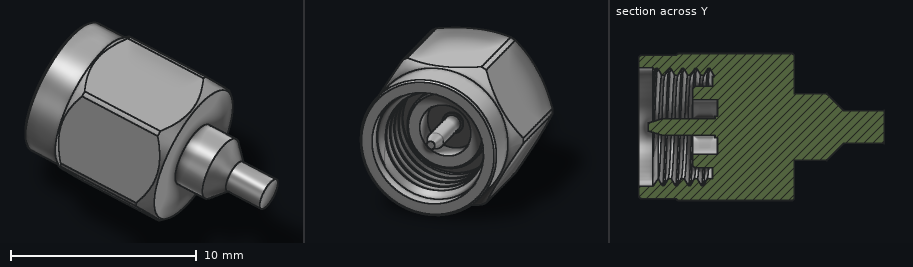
import cadquery as cq
import math

total_length = 13.23

collar_radius = 3.88
collar_length = 2.01
collar_chamfer = 0.1
nut_end = 8.39
across_flats = 7.94
corner_radius = 4.5
nut_bevel_length = 0.75

mouth_radius = 3.18
mouth_depth = 0.77
lead_in_end = 1.05
thread_crest_radius = 2.78
thread_root_radius = 3.15
thread_pitch = 0.7
thread_crest_width = 0.17
thread_root_width = 0.09
thread_start = 0.29
thread_start_angle = 190
thread_turns = 5
cavity_depth = 3.97
cutter_overlap = 0.05

ring_radius = 2.21
ring_chamfer = 0.1
ring_face = 2.91
ring_bore_radius = 1.45
ring_bore_depth = 1.32

pin_tip = 0.5
pin_tip_radius = 0.22
pin_taper_end = 1.26
pin_radius = 0.46
pin_base_radius = 0.58
pin_base_height = 0.13

ferrule_radius = 1.81
ferrule_end = 10.13
cable_radius = 0.9
cable_start = 11.05


def revolve_about_x(points):
    """Solid of revolution from (x, radius) points."""
    profile = cq.Workplane("XY").polyline(points).close()
    return profile.revolve(360, (0, 0, 0), (1, 0, 0))


def rod(radius, start, end):
    return cq.Workplane("YZ", origin=(start, 0, 0)).circle(radius).extrude(end - start)


def hexagonal_nut():
    """Hexagon with flats facing +Z and -Z, trimmed by a double-bevelled disc."""
    hexagon_diameter = across_flats / math.cos(math.pi / 6)
    nut_blank = (
        cq.Workplane("YZ", origin=(collar_length, 0, 0))
        .polygon(6, hexagon_diameter)
        .extrude(nut_end - collar_length)
    )
    bevelled_disc = revolve_about_x([
        (collar_length, 0),
        (collar_length, collar_radius),
        (collar_length + nut_bevel_length, corner_radius),
        (nut_end - nut_bevel_length, corner_radius),
        (nut_end, collar_radius),
        (nut_end, 0),
    ])
    collar = rod(collar_radius, 0, collar_length).faces("<X").chamfer(collar_chamfer)
    return nut_blank.intersect(bevelled_disc).union(collar)


def cavity():
    """Open mouth with a conical lead-in to the thread crest diameter."""
    return revolve_about_x([
        (0, 0),
        (0, mouth_radius),
        (mouth_depth, mouth_radius),
        (lead_in_end, thread_crest_radius),
        (cavity_depth, thread_crest_radius),
        (cavity_depth, 0),
    ])


def thread_groove():
    """Right-hand helical groove, modelled along Z and then turned onto X."""
    flank_run = (thread_pitch - thread_crest_width - thread_root_width) / 2
    flank_slope = flank_run / (thread_root_radius - thread_crest_radius)
    half_root = thread_root_width / 2
    half_mouth = half_root + flank_run + cutter_overlap * flank_slope
    inner_radius = thread_crest_radius - cutter_overlap
    path = cq.Wire.makeHelix(thread_pitch, thread_turns * thread_pitch, thread_crest_radius)
    groove = (
        cq.Workplane("XZ")
        .polyline([
            (inner_radius, -half_mouth),
            (thread_root_radius, -half_root),
            (thread_root_radius, half_root),
            (inner_radius, half_mouth),
        ])
        .close()
        .sweep(cq.Workplane(path), isFrenet=True)
    )
    groove = groove.rotate((0, 0, 0), (0, 1, 0), 90)
    groove = groove.rotate((0, 0, 0), (1, 0, 0), thread_start_angle)
    return groove.translate((thread_start, 0, 0))


def contact_ring():
    ring = rod(ring_radius, ring_face, cavity_depth + ring_bore_depth)
    ring = ring.faces("<X").chamfer(ring_chamfer)
    return ring.cut(rod(ring_bore_radius, ring_face, ring_face + ring_bore_depth))


def centre_pin():
    bore_floor = ring_face + ring_bore_depth
    return revolve_about_x([
        (pin_tip, 0),
        (pin_tip, pin_tip_radius),
        (pin_taper_end, pin_radius),
        (bore_floor - pin_base_height, pin_radius),
        (bore_floor - pin_base_height, pin_base_radius),
        (nut_end, pin_base_radius),
        (nut_end, 0),
    ])


def ferrule_and_cable():
    ferrule_root = ring_face + ring_bore_depth
    return revolve_about_x([
        (ferrule_root, 0),
        (ferrule_root, ferrule_radius),
        (ferrule_end, ferrule_radius),
        (cable_start, cable_radius),
        (total_length, cable_radius),
        (total_length, 0),
    ])


nut = hexagonal_nut().cut(cavity()).cut(thread_groove())
nut = nut.cut(rod(ring_bore_radius, cavity_depth, ring_face + ring_bore_depth))
result = nut.union(contact_ring()).union(ferrule_and_cable()).union(centre_pin())